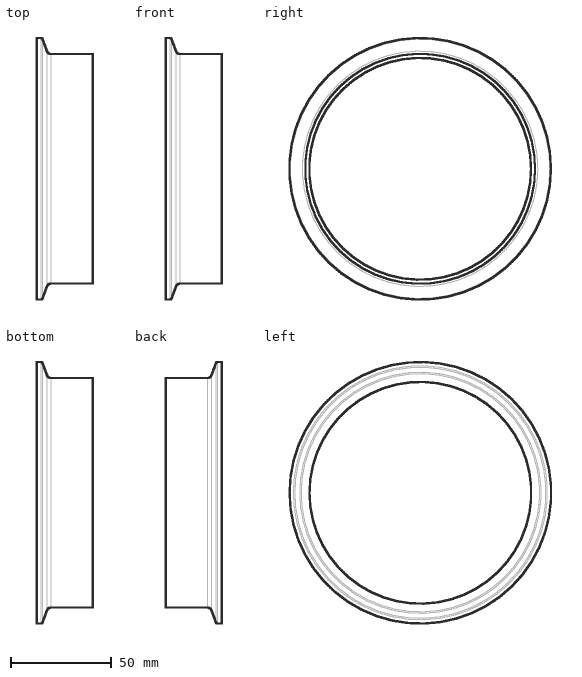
import cadquery as cq
import math

length = 28.0
flange_radius = 65.0
tube_radius = 57.1
bore_radius = 55.0

cone_angle = math.radians(20)
rim_round = 0.9
neck_fillet = 2.1
neck_end = 7.2

groove_radius = 61.1
groove_half_width = 2.0
groove_round = 1.3
lip_round = 0.8


def arc_point(center, radius, angle):
    """Point on a circle; the angle is measured from +X towards +Y."""
    return (center[0] + radius * math.cos(angle), center[1] + radius * math.sin(angle))


neck_center = (neck_end, tube_radius + neck_fillet)
neck_start_angle = math.pi + cone_angle
neck_tangent = arc_point(neck_center, neck_fillet, neck_start_angle)
neck_middle = arc_point(neck_center, neck_fillet, (neck_start_angle + 1.5 * math.pi) / 2)

rim_center_y = flange_radius - rim_round
rim_center_x = (
    neck_tangent[0]
    - (rim_center_y - neck_tangent[1]) * math.tan(cone_angle)
    - rim_round / math.cos(cone_angle)
)
rim_center = (rim_center_x, rim_center_y)
rim_tangent = arc_point(rim_center, rim_round, cone_angle)
rim_middle = arc_point(rim_center, rim_round, (cone_angle + math.pi / 2) / 2)

lip_angle = math.acos(groove_half_width / (groove_round + lip_round))
groove_center_x = lip_round - groove_half_width * math.tan(lip_angle)
groove_bottom = (groove_center_x + groove_round, groove_radius)


def lip_points(side):
    """Face end, middle and groove end of a lip; side is +1 for the outer lip, -1 for the inner."""
    center = (lip_round, groove_radius + side * groove_half_width)
    groove_end_angle = math.pi + side * (math.pi / 2 - lip_angle)
    middle_angle = (math.pi + groove_end_angle) / 2
    return (
        arc_point(center, lip_round, math.pi),
        arc_point(center, lip_round, middle_angle),
        arc_point(center, lip_round, groove_end_angle),
    )


inner_face, inner_middle, inner_groove = lip_points(-1)
outer_face, outer_middle, outer_groove = lip_points(1)

profile = (
    cq.Workplane("XY")
    .moveTo(0, bore_radius)
    .lineTo(length, bore_radius)
    .lineTo(length, tube_radius)
    .lineTo(neck_end, tube_radius)
    .threePointArc(neck_middle, neck_tangent)
    .lineTo(*rim_tangent)
    .threePointArc(rim_middle, (rim_center_x, flange_radius))
    .lineTo(0, flange_radius)
    .lineTo(*outer_face)
    .threePointArc(outer_middle, outer_groove)
    .threePointArc(groove_bottom, inner_groove)
    .threePointArc(inner_middle, inner_face)
    .close()
)

result = profile.revolve(360, (0, 0, 0), (1, 0, 0))